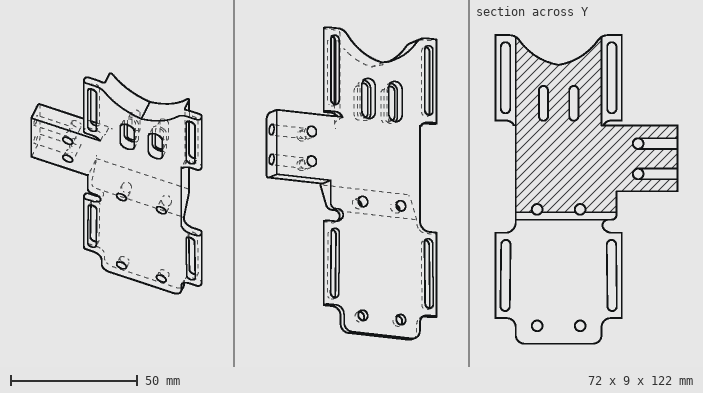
import cadquery as cq
import math

HEIGHT = 122.0
THICKNESS = 9.0
PLATE_THICKNESS = 3.0
CUT_MARGIN = 1.0

BODY_HALF_WIDTH = 17.0
BODY_EDGE_RADIUS = 1.0
BODY_FOOT_Z = 49.0
RAMP_TOP_Z = 60.2
CORNER_RADIUS = 3.5

ARM_END_X = -47.0
ARM_BOTTOM_Z = RAMP_TOP_Z
ARM_HEIGHT = 26.1
ARM_TOP_Z = ARM_BOTTOM_Z + ARM_HEIGHT
ARM_TOP_RADIUS = 3.0
ARM_BOTTOM_RADIUS = 2.0
LEG_LEFT_X = -22.9
LEG_CORNER_RADIUS = 2.0

WING_HALF_SPAN = 25.0
WING_HEIGHT = 33.8
LOWER_WING_Z = 10.1
UPPER_WING_Z = HEIGHT - WING_HEIGHT
WING_TIP_RADIUS = 1.3
WING_ROOT_RADIUS = 4.0
LOWER_ROOT_RADIUS = 3.5
NOTCH_RADIUS = 2.2
WING_SLOT_X = 21.0
WING_SLOT_WIDTH = 3.6
WING_SLOT_LENGTH = 28.0
LOWER_SLOT_LEAN = 0.7

RECESS_RADIUS = 24.0
RECESS_CENTER_OFFSET = 4.0
RECESS_LOW_Z = 110.2
HORN_RADIUS = 5.0

HOLE_DIAMETER = 4.14
PLATE_HOLE_X = 8.5
PLATE_HOLE_ROWS = (7.1, 53.1)
ARM_HOLE_X = -31.4
ARM_HOLE_SPACING = 12.0
ARM_HOLE_MIDDLE_Z = 73.1
CENTER_SLOT_X = 6.0
CENTER_SLOT_Z = 95.0
CENTER_SLOT_TRAVEL = 10.2
CENTER_SLOT_WIDTH = 3.5
COUNTERBORE_WIDTH = 6.0
COUNTERBORE_DEPTH = 4.0


def extrude_back(sketch, depth):
    """Extrude a front-plane (XZ) sketch from Y = 0 towards +Y."""
    return sketch.extrude(-depth)


def front_block(left, right, bottom, top, depth):
    return cq.Workplane("XY").box(right - left, depth, top - bottom, centered=False).translate((left, 0, bottom))


def ramped_block(left, right, top):
    """Full-thickness block whose rear slopes down to the plate thickness at its foot."""
    profile = (
        cq.Workplane("YZ", origin=(left, 0, 0))
        .moveTo(0, BODY_FOOT_Z)
        .lineTo(PLATE_THICKNESS, BODY_FOOT_Z)
        .lineTo(THICKNESS, RAMP_TOP_Z)
        .lineTo(THICKNESS, top)
        .lineTo(0, top)
        .close()
    )
    return profile.extrude(right - left)


def make_body():
    body = ramped_block(-BODY_HALF_WIDTH, BODY_HALF_WIDTH, HEIGHT)
    return body.edges("|Z and >Y").fillet(BODY_EDGE_RADIUS)


def make_leg():
    """Strip under the arm, left of the body, with a rounded lower corner."""
    leg = ramped_block(LEG_LEFT_X, -BODY_HALF_WIDTH + BODY_EDGE_RADIUS, ARM_TOP_Z - ARM_TOP_RADIUS)
    return leg.edges("|Y and <X and <Z").fillet(LEG_CORNER_RADIUS)


def make_arm():
    arm = front_block(ARM_END_X, -BODY_HALF_WIDTH + BODY_EDGE_RADIUS, ARM_BOTTOM_Z, ARM_TOP_Z, THICKNESS)
    arm = arm.edges("|X and >Y and >Z").fillet(ARM_TOP_RADIUS)
    return arm.edges("|X and >Y and <Z").fillet(ARM_BOTTOM_RADIUS)


def make_wing_pair(bottom):
    wings = front_block(-WING_HALF_SPAN, WING_HALF_SPAN, bottom, bottom + WING_HEIGHT, PLATE_THICKNESS)
    return wings.edges("|Z").fillet(WING_TIP_RADIUS)


def make_root(side, wing_z, direction, radius):
    """Concave web between a wing edge and the body side; direction is +1 above the wing, -1 below."""
    wall_x = side * BODY_HALF_WIDTH
    center_x = side * (BODY_HALF_WIDTH + radius)
    center_z = wing_z + direction * radius
    diagonal = radius * math.sqrt(0.5)
    sketch = (
        cq.Workplane("XZ")
        .moveTo(wall_x, wing_z)
        .lineTo(center_x, wing_z)
        .threePointArc((center_x - side * diagonal, center_z - direction * diagonal), (wall_x, center_z))
        .close()
    )
    return extrude_back(sketch, PLATE_THICKNESS)


def make_upper_root(side):
    """Wing root web that stops level with the top of the arm."""
    root = make_root(side, UPPER_WING_Z, -1, WING_ROOT_RADIUS)
    return root.intersect(
        front_block(-WING_HALF_SPAN, WING_HALF_SPAN, ARM_TOP_Z, UPPER_WING_Z, PLATE_THICKNESS)
    )


def make_notch_web():
    """Rounds the blind end of the notch between the leg and the lower left wing.

    The notch arc is tangent to the leg's underside and to the wing root arc.
    """
    root_center_x = -BODY_HALF_WIDTH - WING_ROOT_RADIUS
    root_center_z = LOWER_WING_Z + WING_HEIGHT + WING_ROOT_RADIUS
    center_z = BODY_FOOT_Z - NOTCH_RADIUS
    center_gap = WING_ROOT_RADIUS - NOTCH_RADIUS
    drop = root_center_z - center_z
    center_x = root_center_x + math.sqrt(center_gap**2 - drop**2)
    tangent_x = root_center_x + (center_x - root_center_x) * WING_ROOT_RADIUS / center_gap
    tangent_z = root_center_z - drop * WING_ROOT_RADIUS / center_gap
    sketch = (
        cq.Workplane("XZ")
        .moveTo(center_x, BODY_FOOT_Z)
        .threePointArc((center_x + NOTCH_RADIUS, center_z), (tangent_x, tangent_z))
        .lineTo(-BODY_HALF_WIDTH, tangent_z)
        .lineTo(-BODY_HALF_WIDTH, BODY_FOOT_Z)
        .close()
    )
    return extrude_back(sketch, PLATE_THICKNESS)


def make_lower_plate():
    plate = front_block(-BODY_HALF_WIDTH, BODY_HALF_WIDTH, 0, BODY_FOOT_Z, PLATE_THICKNESS)
    return plate.edges("|Y and <Z").fillet(CORNER_RADIUS)


def make_wing_step_fillet(side):
    """Concave fillet along the step from the back of an upper wing to the body side."""
    wall_x = side * BODY_HALF_WIDTH
    outer_x = side * (BODY_HALF_WIDTH + BODY_EDGE_RADIUS)
    inset = BODY_EDGE_RADIUS * (1 - math.sqrt(0.5))
    return (
        cq.Workplane("XY", origin=(0, 0, ARM_TOP_Z))
        .moveTo(wall_x, PLATE_THICKNESS)
        .lineTo(outer_x, PLATE_THICKNESS)
        .threePointArc(
            (wall_x + side * inset, PLATE_THICKNESS + inset),
            (wall_x, PLATE_THICKNESS + BODY_EDGE_RADIUS),
        )
        .close()
        .extrude(HEIGHT - ARM_TOP_Z)
    )


def make_recess_cutter():
    """Recess of two crossing arcs whose ends roll over convex horn fillets into the upper edge."""
    center_z = RECESS_LOW_Z + math.sqrt(RECESS_RADIUS**2 - RECESS_CENTER_OFFSET**2)
    horn_z = HEIGHT - HORN_RADIUS
    reach = RECESS_RADIUS + HORN_RADIUS
    horn_x = math.sqrt(reach**2 - (center_z - horn_z) ** 2) - RECESS_CENTER_OFFSET
    tangent_angle = math.atan2(horn_z - center_z, horn_x + RECESS_CENTER_OFFSET)
    low_angle = -math.acos(RECESS_CENTER_OFFSET / RECESS_RADIUS)

    def recess_point(angle):
        x = RECESS_RADIUS * math.cos(angle) - RECESS_CENTER_OFFSET
        return x, center_z + RECESS_RADIUS * math.sin(angle)

    def horn_point(angle):
        return horn_x + HORN_RADIUS * math.cos(angle), horn_z + HORN_RADIUS * math.sin(angle)

    def mirrored(point):
        return -point[0], point[1]

    horn_start_angle = tangent_angle + math.pi
    recess_end = recess_point(tangent_angle)
    recess_middle = recess_point((tangent_angle + low_angle) / 2)
    horn_middle = horn_point((horn_start_angle + math.pi / 2) / 2)
    horn_top = (horn_x, HEIGHT)
    sketch = (
        cq.Workplane("XZ", origin=(0, -CUT_MARGIN, 0))
        .moveTo(0, RECESS_LOW_Z)
        .threePointArc(recess_middle, recess_end)
        .threePointArc(horn_middle, horn_top)
        .lineTo(horn_x, HEIGHT + CUT_MARGIN)
        .lineTo(-horn_x, HEIGHT + CUT_MARGIN)
        .lineTo(*mirrored(horn_top))
        .threePointArc(mirrored(horn_middle), mirrored(recess_end))
        .threePointArc(mirrored(recess_middle), (0, RECESS_LOW_Z))
        .close()
    )
    return extrude_back(sketch, THICKNESS + 2 * CUT_MARGIN)


def slot_cutter(points, length, width, depth, angle=90):
    """Round-ended slots cut from the front face, at an angle in degrees from the X axis."""
    return extrude_back(cq.Workplane("XZ").pushPoints(points).slot2D(length, width, angle), depth)


def wing_slot_cutter(side, bottom, lean):
    center = (side * WING_SLOT_X, bottom + WING_HEIGHT / 2)
    return slot_cutter([center], WING_SLOT_LENGTH, WING_SLOT_WIDTH, PLATE_THICKNESS, 90 + side * lean)


def hole_cutter(points):
    return extrude_back(cq.Workplane("XZ").pushPoints(points).circle(HOLE_DIAMETER / 2), THICKNESS)


def arm_end_hole_cutter(rows):
    """Blind holes from the arm's end face that reach the cross holes."""
    sketch = cq.Workplane("YZ", origin=(ARM_END_X, 0, 0)).pushPoints([(THICKNESS / 2, z) for z in rows])
    return sketch.circle(HOLE_DIAMETER / 2).extrude(ARM_HOLE_X - ARM_END_X)


def make_solid():
    part = make_body().union(make_lower_plate()).union(make_leg()).union(make_arm())
    for bottom in (LOWER_WING_Z, UPPER_WING_Z):
        part = part.union(make_wing_pair(bottom))
    for side in (-1, 1):
        part = part.union(make_root(side, LOWER_WING_Z, -1, LOWER_ROOT_RADIUS))
        part = part.union(make_root(side, LOWER_WING_Z + WING_HEIGHT, 1, WING_ROOT_RADIUS))
        part = part.union(make_upper_root(side))
        part = part.union(make_wing_step_fillet(side))
    return part.union(make_notch_web())


def cut_openings(part):
    center_slots = [(side * CENTER_SLOT_X, CENTER_SLOT_Z) for side in (-1, 1)]
    plate_holes = [(side * PLATE_HOLE_X, z) for side in (-1, 1) for z in PLATE_HOLE_ROWS]
    arm_rows = [ARM_HOLE_MIDDLE_Z + side * ARM_HOLE_SPACING / 2 for side in (-1, 1)]
    arm_holes = [(ARM_HOLE_X, z) for z in arm_rows]

    part = part.cut(make_recess_cutter())
    for side in (-1, 1):
        part = part.cut(wing_slot_cutter(side, LOWER_WING_Z, LOWER_SLOT_LEAN))
        part = part.cut(wing_slot_cutter(side, UPPER_WING_Z, 0))
    for width, depth in ((CENTER_SLOT_WIDTH, THICKNESS), (COUNTERBORE_WIDTH, COUNTERBORE_DEPTH)):
        part = part.cut(slot_cutter(center_slots, CENTER_SLOT_TRAVEL + width, width, depth))
    part = part.cut(hole_cutter(plate_holes + arm_holes))
    return part.cut(arm_end_hole_cutter(arm_rows))


result = cut_openings(make_solid())